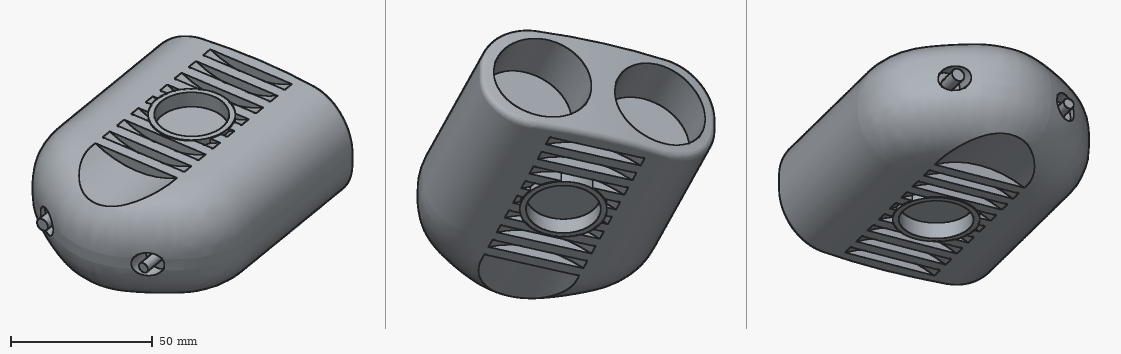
import cadquery as cq
import math


body_width = 88.0
body_height = 44.1
back_y = 42.2
nose_y = -64.9
side_end_y = -24.7
corner_radius = 32.5
corner_angle = 50.0
cheek_radius = 91.0
back_radius = 200.2
body_fillet = 19.7
back_fillet = 2.2

bore_diameter = 35.2
bore_floor_y = 21.4

slot_length = 35.5
slot_sag = 4.5
slot_width = 4.3
slot_pitch = 8.7
slot_count = 8
first_slot_y = 33.7

bezel_diameter = 30.8
bezel_bore = 26.4
bezel_bore_depth = 6.3
overall_height = 44.9

socket_diameter = 10.0
socket_floor_y = -51.3
pin_tip_y = -59.6
left_pin_diameter = 4.8
right_pin_diameter = 4.0

half_width = body_width / 2
half_height = body_height / 2
socket_x = half_width / 2
back_edge_y = back_y - back_radius + math.sqrt(back_radius**2 - half_width**2)
slot_radius = ((slot_length / 2) ** 2 + slot_sag**2) / (2 * slot_sag)
bezel_top = overall_height / 2
scoop_start_y = first_slot_y + slot_width / 2 - slot_count * slot_pitch


def polar(center, radius, angle):
    return (center[0] + radius * math.cos(angle), center[1] + radius * math.sin(angle))


def mirror_x(point):
    return (-point[0], point[1])


def plan_outline():
    """Closed outline with tangent corner, cheek and nose arcs on each side."""
    sweep = math.radians(corner_angle)
    corner_center = (half_width - corner_radius, side_end_y)
    cheek_center = polar(corner_center, cheek_radius - corner_radius, math.pi - sweep)

    cx, cy = cheek_center
    reach = cheek_radius + nose_y
    nose_center_y = (cx**2 + cy**2 - reach**2) / (2 * (cy - reach))
    nose_angle = math.atan2(nose_center_y - cy, -cx)

    corner_mid = polar(corner_center, corner_radius, -sweep / 2)
    corner_end = polar(corner_center, corner_radius, -sweep)
    cheek_mid = polar(cheek_center, cheek_radius, (nose_angle - sweep) / 2)
    cheek_end = polar(cheek_center, cheek_radius, nose_angle)

    return (
        cq.Workplane("XY")
        .workplane(offset=-half_height)
        .moveTo(-half_width, back_edge_y)
        .threePointArc((0, back_y), (half_width, back_edge_y))
        .lineTo(half_width, side_end_y)
        .threePointArc(corner_mid, corner_end)
        .threePointArc(cheek_mid, cheek_end)
        .threePointArc((0, nose_y), mirror_x(cheek_end))
        .threePointArc(mirror_x(cheek_mid), mirror_x(corner_end))
        .threePointArc(mirror_x(corner_mid), (-half_width, side_end_y))
        .close()
    )


def make_body():
    prism = plan_outline().extrude(body_height)
    rim_edges = prism.faces("|Z").edges("not >Y")
    return rim_edges.fillet(body_fillet).faces(">Y").edges().fillet(back_fillet)


def cut_back_bores(body):
    depth = back_y - bore_floor_y
    for x in (-socket_x, socket_x):
        bore = cq.Workplane("XZ", origin=(x, back_y, 0)).circle(bore_diameter / 2).extrude(depth)
        body = body.cut(bore)
    return body


def groove(y_start, y_end):
    """Piece of the shallow cylinder that hollows the top face from y_start to y_end."""
    axis_z = half_height - slot_sag + slot_radius
    return (
        cq.Workplane("XZ", origin=(0, y_end, axis_z))
        .circle(slot_radius)
        .extrude(y_end - y_start)
    )


def cut_grip(body):
    for index in range(slot_count):
        center_y = first_slot_y - index * slot_pitch
        slot = groove(center_y - slot_width / 2, center_y + slot_width / 2)
        body = body.cut(slot).cut(slot.mirror("XY"))
    scoop = groove(nose_y, scoop_start_y)
    return body.cut(scoop).cut(scoop.mirror("XY"))


def add_bezels(body):
    floor_z = bezel_top - bezel_bore_depth
    post = cq.Workplane("XY").circle(bezel_diameter / 2).extrude(bezel_top)
    bore = cq.Workplane("XY").workplane(offset=floor_z).circle(bezel_bore / 2).extrude(bezel_bore_depth)
    body = body.union(post).union(post.mirror("XY"))
    return body.cut(bore).cut(bore.mirror("XY"))


def add_socket(body, x, pin_diameter):
    floor = cq.Workplane("XZ", origin=(x, socket_floor_y, 0))
    socket = floor.circle(socket_diameter / 2).extrude(socket_floor_y - nose_y)
    pin = floor.circle(pin_diameter / 2).extrude(socket_floor_y - pin_tip_y)
    return body.cut(socket).union(pin)


result = cut_back_bores(make_body())
result = cut_grip(result)
result = add_bezels(result)
result = add_socket(result, -socket_x, left_pin_diameter)
result = add_socket(result, socket_x, right_pin_diameter)